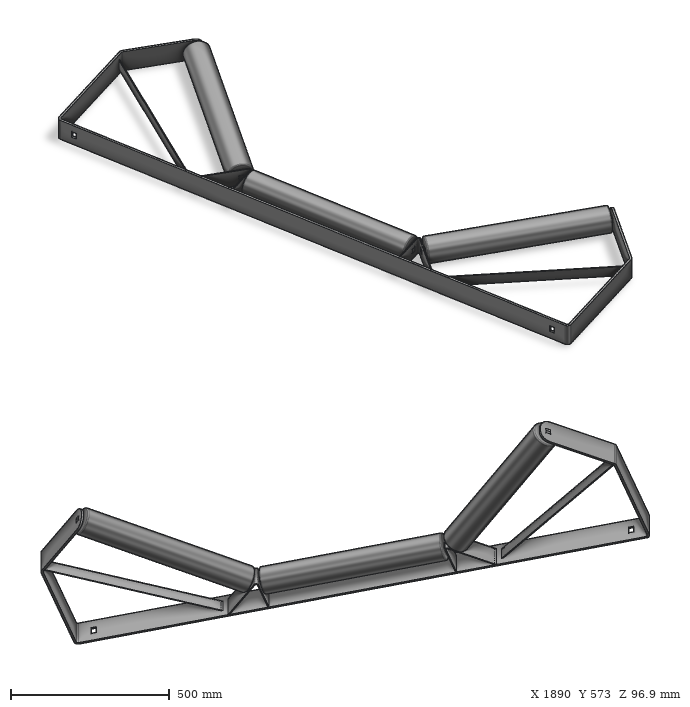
import cadquery as cq
import math

LENGTH = 1890.0
STRIP_WIDTH = 80.0
STRIP_THICKNESS = 8.0
SHOULDER_Y = 382.0
WING_TIP_Y = 573.0
BEND_RADIUS = 13.0
WING_TIP_RADIUS = 32.0
SLOT_X = 883.0
SLOT_WIDTH = 17.0
SLOT_HEIGHT = 23.0

ROLLER_DIAMETER = 89.0
ROLLER_LENGTH = 597.0
ROLLER_ROUNDING = 4.0
AXLE_SIZE = 17.0
END_GAP = 8.0
MIDDLE_AXIS_Y = 102.0
INNER_AXIS_Z = -8.0

BRACKET_THICKNESS = 4.0
BRACKET_WIDTH = 65.0
BRACKET_TOP_Y = 142.0
BRACKET_BEND_RADIUS = 8.0

BRACE_WIDTH = 38.0
BRACE_THICKNESS = 4.0
BRACE_SIDE_Y = 365.0
BRACE_FRONT_X = 457.0

ROOT_HALF = math.sqrt(0.5)
MITRE = math.tan(math.radians(22.5))
half_length = LENGTH / 2
inner_side_x = half_length - STRIP_THICKNESS
bracket_x = ROLLER_LENGTH / 2 + END_GAP


def make_strip(outline, width, middle_z=0):
    """Bar standing on edge, centred on `middle_z`, with the given plan outline."""
    return cq.Workplane("XY", origin=(0, 0, middle_z - width / 2)).polyline(outline).close().extrude(width)


def make_roller(start, end, start_plate, end_plate):
    """Drum between two end centres, on a square axle running out through both end plates."""
    axis = cq.Vector(*end) - cq.Vector(*start)
    plane = cq.Plane(origin=start, xDir=(-axis.y, axis.x, 0), normal=axis.toTuple())
    drum = cq.Workplane(plane).circle(ROLLER_DIAMETER / 2).extrude(axis.Length)
    drum = drum.edges("%CIRCLE").fillet(ROLLER_ROUNDING)
    axle = (
        cq.Workplane(plane)
        .workplane(offset=-start_plate)
        .rect(AXLE_SIZE, AXLE_SIZE)
        .extrude(start_plate + axis.Length + end_plate)
    )
    return drum.union(axle)


def make_frame():
    """Straight front, two sides and two inward wings with rounded tips."""
    wing_run = WING_TIP_Y - SHOULDER_Y
    tip_inset = STRIP_THICKNESS * ROOT_HALF
    tip_x = half_length - wing_run
    inner_shoulder_y = SHOULDER_Y - STRIP_THICKNESS * MITRE
    right_half = [
        (half_length, 0),
        (half_length, SHOULDER_Y),
        (tip_x, WING_TIP_Y),
        (tip_x - tip_inset, WING_TIP_Y - tip_inset),
        (inner_side_x, inner_shoulder_y),
        (inner_side_x, STRIP_THICKNESS),
    ]
    left_half = [(-x, y) for x, y in reversed(right_half)]
    frame = make_strip(right_half + left_half, STRIP_WIDTH)
    frame = frame.edges("|Z and (<X or >X)").fillet(BEND_RADIUS)
    inner_bends = frame.edges("|Z").filter(lambda edge: math.isclose(abs(edge.Center().x), inner_side_x))
    frame = inner_bends.fillet(BEND_RADIUS - STRIP_THICKNESS)
    for side in (-1, 1):
        across_wing = cq.selectors.ParallelDirSelector(cq.Vector(side, 1, 0))
        short_edges = frame.edges(across_wing).filter(lambda edge: edge.Length() < 2 * STRIP_THICKNESS)
        frame = short_edges.fillet(WING_TIP_RADIUS)
    slots = (
        cq.Workplane("XZ")
        .pushPoints([(-SLOT_X, 0), (SLOT_X, 0)])
        .rect(SLOT_WIDTH, SLOT_HEIGHT)
        .extrude(-STRIP_THICKNESS)
    )
    return frame.cut(slots)


def make_bracket():
    """Left bracket: upright leg and 45-degree leg joined at a bend above the axles."""
    back_x = bracket_x + BRACKET_THICKNESS
    foot_x = bracket_x + BRACKET_TOP_Y - STRIP_THICKNESS
    leg_height = BRACKET_THICKNESS / ROOT_HALF
    outline = [
        (-bracket_x, STRIP_THICKNESS),
        (-bracket_x, BRACKET_TOP_Y),
        (-foot_x, STRIP_THICKNESS),
        (-foot_x + leg_height, STRIP_THICKNESS),
        (-back_x, BRACKET_TOP_Y - BRACKET_THICKNESS - leg_height),
        (-back_x, STRIP_THICKNESS),
    ]
    bracket = make_strip(outline, BRACKET_WIDTH, INNER_AXIS_Z)
    bracket = bracket.edges("|Z and >Y").fillet(BRACKET_BEND_RADIUS)
    inside_bend = bracket.edges("|Z").filter(lambda edge: math.isclose(edge.Center().y, outline[4][1]))
    return inside_bend.fillet(BRACKET_BEND_RADIUS - BRACKET_THICKNESS)


def make_brace():
    """Left brace, its ends cut flush with the frame."""
    run = inner_side_x - BRACE_FRONT_X
    rise = BRACE_SIDE_Y - STRIP_THICKNESS
    slant = math.hypot(run, rise)
    outline = [
        (-inner_side_x, BRACE_SIDE_Y),
        (-BRACE_FRONT_X, STRIP_THICKNESS),
        (-BRACE_FRONT_X - BRACE_THICKNESS * slant / rise, STRIP_THICKNESS),
        (-inner_side_x, BRACE_SIDE_Y - BRACE_THICKNESS * slant / run),
    ]
    return make_strip(outline, BRACE_WIDTH)


def make_outer_roller():
    """Left outer roller, square to the wing in plan and centred on it at the wing."""
    wing_across = (-half_length - SHOULDER_Y) * ROOT_HALF + STRIP_THICKNESS
    leg_across = (-bracket_x - BRACKET_TOP_Y) * ROOT_HALF
    axle_drop = BRACKET_TOP_Y - MIDDLE_AXIS_Y
    along = (BRACKET_TOP_Y - bracket_x) * ROOT_HALF - axle_drop
    outer_across = wing_across + END_GAP
    inner_across = outer_across + ROLLER_LENGTH
    leg_gap = leg_across - inner_across
    outer_end = ((along + outer_across) * ROOT_HALF, (along - outer_across) * ROOT_HALF, 0)
    inner_end = ((along + inner_across) * ROOT_HALF, (along - inner_across) * ROOT_HALF, INNER_AXIS_Z)
    return make_roller(outer_end, inner_end, END_GAP + STRIP_THICKNESS, leg_gap + BRACKET_THICKNESS)


def mirrored(body):
    """Copy of a left-hand body on the right."""
    return body.mirror("YZ")


middle_roller = make_roller(
    (-ROLLER_LENGTH / 2, MIDDLE_AXIS_Y, INNER_AXIS_Z),
    (ROLLER_LENGTH / 2, MIDDLE_AXIS_Y, INNER_AXIS_Z),
    END_GAP + BRACKET_THICKNESS,
    END_GAP + BRACKET_THICKNESS,
)
left_outer_roller = make_outer_roller()
outer_rollers = [left_outer_roller, mirrored(left_outer_roller)]

frame = make_frame().cut(outer_rollers[0]).cut(outer_rollers[1])
left_bracket = make_bracket().cut(middle_roller).cut(left_outer_roller)
brackets = [left_bracket, mirrored(left_bracket)]
left_brace = make_brace()
braces = [left_brace, mirrored(left_brace)]

bodies = [frame, middle_roller, *outer_rollers, *brackets, *braces]
result = cq.Compound.makeCompound([body.val() for body in bodies])